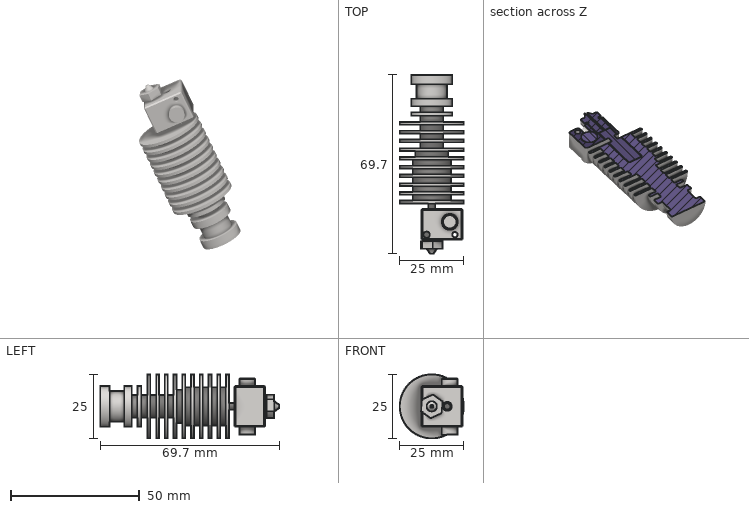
import cadquery as cq
import math


collar_diameter = 16.0
groove_diameter = 12.0
rear_collar_length = 3.7
groove_length = 5.6
front_collar_length = 3.0
small_fin_gap = 2.2
small_fin_thickness = 1.5

fin_diameter = 25.0
fin_thickness = 1.2
fin_pitch = 3.4
fin_count = 10
first_fin_start = 18.3
slim_core_diameter = 9.0
step_core_diameter = 13.0
thick_core_diameter = 15.0
step_core_fin = 3
thick_core_fin = 4
sink_length = first_fin_start + (fin_count - 1) * fin_pitch + fin_thickness

thread_diameter = 6.0
sink_thread_length = 14.0
break_neck_diameter = 2.8
break_neck_length = 2.1
block_thread_length = 5.0

block_width = 16.0
block_length = 12.0
block_height = 16.0
block_left = -4.0
block_chamfer = 0.5
block_start = sink_length + break_neck_length
block_end = block_start + block_length
small_hole_setback = 2.0
sensor_hole_diameter = 2.5
sensor_hole_inset = 2.0
sensor_hole_depth = 4.0
sensor_hole_x = block_left + sensor_hole_inset
clamp_hole_diameter = 2.0
clamp_hole_inset = 3.0
clamp_hole_x = block_left + block_width - clamp_hole_inset
screw_hole_diameter = 2.5
screw_hole_x = 6.0
screw_sink_diameter = 3.5

cartridge_diameter = 6.2
cartridge_length = 22.0
cartridge_chamfer = 0.5
cartridge_x = 7.0
cartridge_setback = 5.0
cartridge_station = block_start + cartridge_setback

nozzle_neck_diameter = 5.0
nozzle_neck_length = 0.5
hex_across_flats = 8.0
hex_length = 3.0
hex_turn = 35.5
cone_base_diameter = 4.0
cone_length = 2.0
tip_diameter = 1.2
orifice_diameter = 0.5
hex_start = block_end + nozzle_neck_length
cone_start = hex_start + hex_length


def rod(diameter, start, end, x=0.0):
    """Round rod parallel to Y between two stations."""
    plane = cq.Workplane("XZ", origin=(x, -start, 0))
    return plane.circle(diameter / 2).extrude(end - start)


def cone(start_diameter, end_diameter, start, end, x=0.0):
    """Truncated cone parallel to Y between two stations."""
    solid = cq.Solid.makeCone(
        start_diameter / 2, end_diameter / 2, end - start, cq.Vector(x, -start, 0), cq.Vector(0, -1, 0)
    )
    return cq.Workplane(solid)


def upright_rod(diameter, bottom, top, x, station):
    """Round rod parallel to Z."""
    plane = cq.Workplane("XY", origin=(x, -station, bottom))
    return plane.circle(diameter / 2).extrude(top - bottom)


def fin_start(index):
    return first_fin_start + index * fin_pitch


def make_heat_break():
    sink_thread = rod(thread_diameter, sink_length - sink_thread_length, sink_length)
    neck = rod(break_neck_diameter, sink_length, block_start)
    block_thread = rod(thread_diameter, block_start, block_start + block_thread_length)
    return sink_thread.union(neck).union(block_thread)


def make_nozzle():
    thread = rod(thread_diameter, block_start + block_thread_length, block_end)
    neck = rod(nozzle_neck_diameter, block_end, hex_start)
    corner_diameter = hex_across_flats / math.cos(math.radians(30))
    hexagon = (
        cq.Workplane("XZ")
        .polygon(6, corner_diameter)
        .extrude(hex_length)
        .rotate((0, 0, 0), (0, 1, 0), hex_turn)
        .translate((0, -hex_start, 0))
    )
    tip_end = cone_start + cone_length
    tip = cone(cone_base_diameter, tip_diameter, cone_start, tip_end)
    orifice = rod(orifice_diameter, block_start + block_thread_length, tip_end)
    return thread.union(neck).union(hexagon).union(tip).cut(orifice)


def make_cartridge():
    half_length = cartridge_length / 2
    body = upright_rod(cartridge_diameter, -half_length, half_length, cartridge_x, cartridge_station)
    return body.faces(">Z").edges().chamfer(cartridge_chamfer)


def make_heat_sink(heat_break):
    groove_start = rear_collar_length
    front_collar_start = groove_start + groove_length
    front_collar_end = front_collar_start + front_collar_length
    small_fin_start = front_collar_end + small_fin_gap

    sink = rod(collar_diameter, 0, rear_collar_length)
    sink = sink.union(rod(groove_diameter, groove_start, front_collar_start))
    sink = sink.union(rod(collar_diameter, front_collar_start, front_collar_end))
    sink = sink.union(rod(slim_core_diameter, front_collar_end, fin_start(step_core_fin)))
    sink = sink.union(rod(step_core_diameter, fin_start(step_core_fin), fin_start(thick_core_fin)))
    sink = sink.union(rod(thick_core_diameter, fin_start(thick_core_fin), sink_length))
    sink = sink.union(rod(collar_diameter, small_fin_start, small_fin_start + small_fin_thickness))
    for index in range(fin_count):
        sink = sink.union(rod(fin_diameter, fin_start(index), fin_start(index) + fin_thickness))
    return sink.cut(heat_break)


def make_heater_block():
    block = (
        cq.Workplane("XY")
        .box(block_width, block_length, block_height)
        .edges()
        .chamfer(block_chamfer)
        .translate((block_left + block_width / 2, -(block_start + block_length / 2), 0))
    )
    top = block_height / 2
    bottom = -top
    small_hole_station = block_end - small_hole_setback

    block = block.cut(rod(thread_diameter, block_start, block_end))
    block = block.cut(upright_rod(cartridge_diameter, bottom, top, cartridge_x, cartridge_station))

    sensor_bottom = top - sensor_hole_depth
    block = block.cut(upright_rod(sensor_hole_diameter, sensor_bottom, top, sensor_hole_x, small_hole_station))
    block = block.cut(upright_rod(clamp_hole_diameter, bottom, top, clamp_hole_x, small_hole_station))

    countersink_depth = (screw_sink_diameter - screw_hole_diameter) / 2
    countersink_start = block_end - countersink_depth
    block = block.cut(rod(screw_hole_diameter, cartridge_station, block_end, screw_hole_x))
    return block.cut(
        cone(screw_hole_diameter, screw_sink_diameter, countersink_start, block_end, screw_hole_x)
    )


heat_break = make_heat_break()
nozzle = make_nozzle()
cartridge = make_cartridge()
heat_sink = make_heat_sink(heat_break)
heater_block = make_heater_block()

result = cq.Compound.makeCompound(
    [heat_sink.val(), heat_break.val(), heater_block.val(), cartridge.val(), nozzle.val()]
)